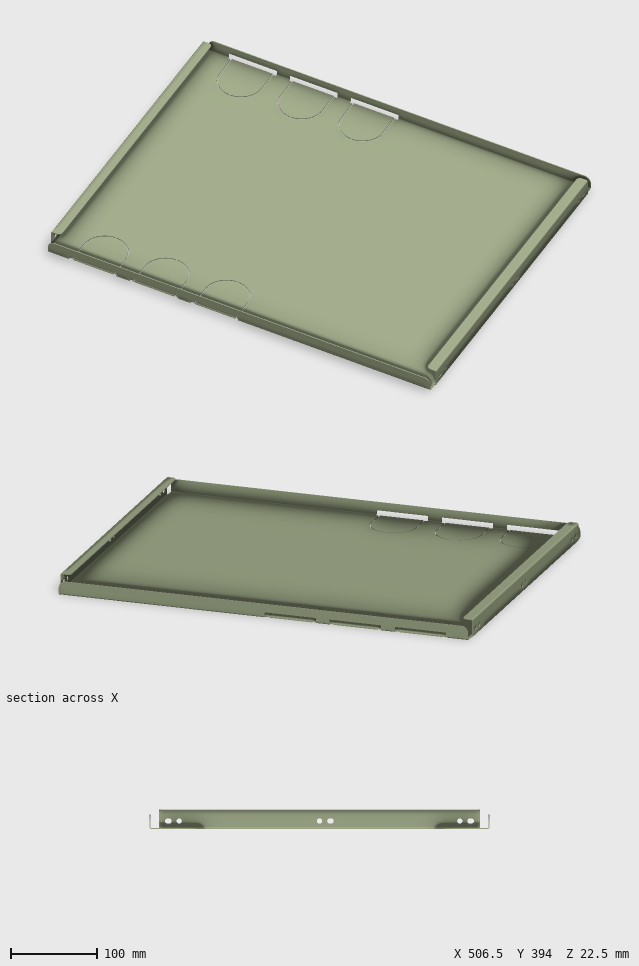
import cadquery as cq
import math

length = 506.5
width = 394.0
height = 22.5

sheet = 1.0
bend_inside = 1.0
bend_outside = bend_inside + sheet

outer_mid = bend_outside * math.sqrt(0.5)
inner_mid = bend_inside * math.sqrt(0.5)

floor_length = length - 2 * bend_outside
floor_width = width - 2 * bend_outside

wall_length = 371.5
lip_width = 12.5
lip_corner_radius = 5.0

flange_height = 16.5
flange_corner_radius = 8.0

hole_diameter = 6.0
slot_length = 7.5
hole_height = 9.0
hole_spacing = 12.5
end_hole_y = 162.5

tab_count = 3
first_tab_x = -193.0
tab_pitch = 80.0
tab_arc_y = 166.5
tab_radius = 27.5
cut_width = 1.25
joint_width = 1.5
window_width = 63.5
window_height = 6.5
window_depth = 3.5


def make_wall():
    """C-section wall on the +X end: floor bend, upright and inward lip."""
    edge = length / 2
    bend_start = edge - bend_outside
    inner_face = edge - sheet
    lip_end = edge - lip_width
    top_bend = height - bend_outside
    wall = (
        cq.Workplane("XZ")
        .moveTo(bend_start, 0)
        .threePointArc((bend_start + outer_mid, bend_outside - outer_mid), (edge, bend_outside))
        .lineTo(edge, top_bend)
        .threePointArc((bend_start + outer_mid, top_bend + outer_mid), (bend_start, height))
        .lineTo(lip_end, height)
        .lineTo(lip_end, height - sheet)
        .lineTo(bend_start, height - sheet)
        .threePointArc((bend_start + inner_mid, top_bend + inner_mid), (inner_face, top_bend))
        .lineTo(inner_face, bend_outside)
        .threePointArc((bend_start + inner_mid, bend_outside - inner_mid), (bend_start, sheet))
        .close()
        .extrude(wall_length / 2, both=True)
    )
    wall = wall.faces("<X").edges("|Z").fillet(lip_corner_radius)
    return wall.cut(make_wall_holes())


def make_wall_holes():
    """Cutters for the round holes and slots through the +X wall."""
    hole_positions = [-end_hole_y, 0, end_hole_y]
    slot_positions = [-end_hole_y - hole_spacing, hole_spacing, end_hole_y + hole_spacing]
    round_holes = [(y, hole_height) for y in hole_positions]
    slots = [(y, hole_height) for y in slot_positions]
    plane = cq.Workplane("YZ", origin=(length / 2 - bend_outside, 0, 0))
    holes = plane.pushPoints(round_holes).circle(hole_diameter / 2).extrude(bend_outside)
    slot_cuts = plane.pushPoints(slots).slot2D(slot_length, hole_diameter).extrude(bend_outside)
    return holes.union(slot_cuts)


def make_flange():
    """L-section flange along the +Y side: floor bend and upright."""
    edge = width / 2
    bend_start = edge - bend_outside
    flange = (
        cq.Workplane("YZ")
        .moveTo(bend_start, 0)
        .threePointArc((bend_start + outer_mid, bend_outside - outer_mid), (edge, bend_outside))
        .lineTo(edge, flange_height)
        .lineTo(edge - sheet, flange_height)
        .lineTo(edge - sheet, bend_outside)
        .threePointArc((bend_start + inner_mid, bend_outside - inner_mid), (bend_start, sheet))
        .close()
        .extrude(floor_length / 2, both=True)
    )
    top_corners = flange.faces("<X or >X").edges("|Y and >Z")
    return top_corners.fillet(flange_corner_radius)


def tab_outline(radius):
    """Solid U-shaped block, round towards the middle and open at the +Y floor edge."""
    straight = floor_width / 2 - tab_arc_y
    return (
        cq.Workplane("XY")
        .moveTo(-radius, straight)
        .lineTo(-radius, 0)
        .threePointArc((0, -radius), (radius, 0))
        .lineTo(radius, straight)
        .close()
        .extrude(sheet)
    )


def make_tab_cut():
    """Cutter for one tab on the +Y side, with its arc centred at X = 0."""
    groove = tab_outline(tab_radius + cut_width / 2).cut(tab_outline(tab_radius - cut_width / 2))
    joint = cq.Workplane("XY").box(joint_width, 2 * cut_width, sheet, centered=(True, True, False))
    groove = groove.cut(joint.translate((0, -tab_radius, 0)))
    window = cq.Workplane("XY").box(
        window_width, window_depth, window_height, centered=(True, False, False)
    )
    window = window.translate((0, width / 2 - window_depth - tab_arc_y, 0))
    tab = tab_outline(tab_radius - cut_width / 2)
    return groove.union(window.cut(tab)).translate((0, tab_arc_y, 0))


floor = cq.Workplane("XY").box(floor_length, floor_width, sheet, centered=(True, True, False))
wall = make_wall()
flange = make_flange()
tray = floor.union(wall).union(wall.mirror("YZ"))
tray = tray.union(flange).union(flange.mirror("XZ"))

tab_cut = make_tab_cut()
for index in range(tab_count):
    placed_cut = tab_cut.translate((first_tab_x + index * tab_pitch, 0, 0))
    tray = tray.cut(placed_cut)
    tray = tray.cut(placed_cut.mirror("XZ"))

result = tray